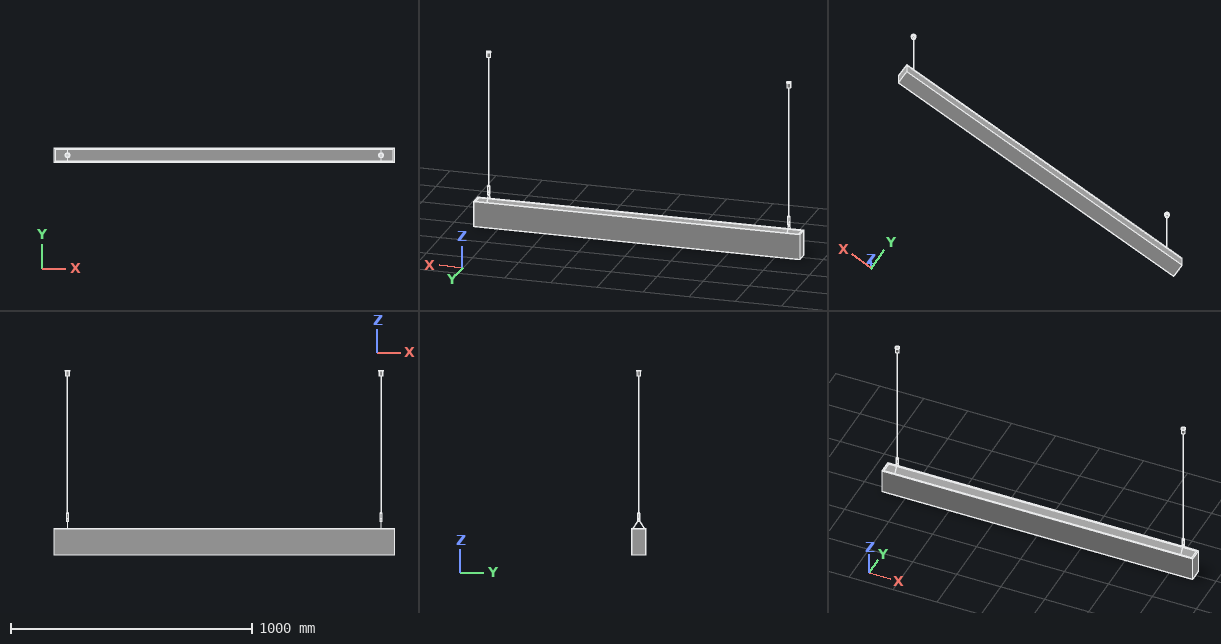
import cadquery as cq
import math

TOTAL_LENGTH = 1414.0
CAP_LENGTH = 7.0
CAP_INSET = 0.25
WIDTH = 60.0
HOUSING_HEIGHT = 110.0
TOTAL_HEIGHT = 766.34
PROFILE_LENGTH = TOTAL_LENGTH - 2 * CAP_LENGTH

TRAY_WIDTH = 47.0
TRAY_DEPTH = 1.0
STEP_WIDTH = 52.0
STEP_DEPTH = 0.5

SUSPENSION_SPACING = 1301.0
CABLE_DIAMETER = 2.0
WIRE_DIAMETER = 1.0
WIRE_SPREAD = 51.0
WIRE_TOP_SPREAD = 9.0

FLANGE_DIAMETER = 20.0
FLANGE_THICKNESS = 2.0
MOUNT_DIAMETER = 16.0
MOUNT_HEIGHT = 24.0

GRIPPER_DIAMETER = 10.0
GRIPPER_TIP_DIAMETER = 5.0
GRIPPER_HEIGHT = 38.0
GRIPPER_TAPER_HEIGHT = 4.0
GRIPPER_CLEARANCE = 29.0
CROSS_HOLE_DIAMETER = 5.0
CROSS_HOLE_RISE = 10.0

tray_floor = HOUSING_HEIGHT - TRAY_DEPTH
gripper_bottom = HOUSING_HEIGHT + GRIPPER_CLEARANCE
gripper_top = gripper_bottom + GRIPPER_HEIGHT
mount_bottom = TOTAL_HEIGHT - MOUNT_HEIGHT


def make_profile():
    half_width = WIDTH / 2
    half_step = STEP_WIDTH / 2
    half_tray = TRAY_WIDTH / 2
    step_level = HOUSING_HEIGHT - STEP_DEPTH
    section = (
        cq.Workplane("YZ", origin=(-PROFILE_LENGTH / 2, 0, 0))
        .moveTo(0, 0)
        .lineTo(half_width, 0)
        .lineTo(half_width, HOUSING_HEIGHT)
        .lineTo(half_step, HOUSING_HEIGHT)
        .lineTo(half_step, step_level)
        .lineTo(half_tray, step_level)
        .lineTo(half_tray, tray_floor)
        .lineTo(0, tray_floor)
        .mirrorY()
    )
    return section.extrude(PROFILE_LENGTH)


def make_end_cap(side):
    draft = math.degrees(math.atan2(CAP_INSET, CAP_LENGTH))
    return (
        cq.Workplane("YZ", origin=(side * PROFILE_LENGTH / 2, 0, HOUSING_HEIGHT / 2))
        .rect(WIDTH, HOUSING_HEIGHT)
        .extrude(side * CAP_LENGTH, taper=draft)
    )


def revolved(x, outline):
    """Solid of revolution about the vertical axis at x, from (radius, height) points."""
    return cq.Workplane("XZ", origin=(x, 0, 0)).polyline(outline).close().revolve(360, (0, 0, 0), (0, 1, 0))


def make_gripper(x):
    """Barrel with a conical tip, pierced by the cross hole."""
    barrel_top = gripper_top - GRIPPER_TAPER_HEIGHT
    barrel_radius = GRIPPER_DIAMETER / 2
    body = revolved(
        x,
        [
            (0, gripper_bottom),
            (barrel_radius, gripper_bottom),
            (barrel_radius, barrel_top),
            (GRIPPER_TIP_DIAMETER / 2, gripper_top),
            (0, gripper_top),
        ],
    )
    cross_hole = (
        cq.Workplane("YZ", origin=(x, 0, gripper_bottom + CROSS_HOLE_RISE))
        .circle(CROSS_HOLE_DIAMETER / 2)
        .extrude(barrel_radius, both=True)
    )
    return body.cut(cross_hole)


def make_ceiling_mount(x):
    flange_bottom = TOTAL_HEIGHT - FLANGE_THICKNESS
    return revolved(
        x,
        [
            (0, mount_bottom),
            (MOUNT_DIAMETER / 2, mount_bottom),
            (MOUNT_DIAMETER / 2, flange_bottom),
            (FLANGE_DIAMETER / 2, flange_bottom),
            (FLANGE_DIAMETER / 2, TOTAL_HEIGHT),
            (0, TOTAL_HEIGHT),
        ],
    )


def make_cable(x):
    """Vertical cable from the gripper tip to the underside of the ceiling mount."""
    return (
        cq.Workplane("XY", origin=(x, 0, gripper_top))
        .circle(CABLE_DIAMETER / 2)
        .extrude(mount_bottom - gripper_top)
    )


def make_wire(x, side):
    """Sloping wire whose ends are buried in the rim steps of the profile and in the gripper."""
    start = cq.Vector(x, side * WIRE_SPREAD / 2, tray_floor - WIRE_DIAMETER)
    end = cq.Vector(x, side * WIRE_TOP_SPREAD / 2, gripper_bottom + WIRE_DIAMETER)
    run = end - start
    return cq.Workplane(cq.Solid.makeCylinder(WIRE_DIAMETER / 2, run.Length, start, run))


result = make_profile()
for side in (-1, 1):
    result = result.union(make_end_cap(side))

for end in (-1, 1):
    hanger_x = end * SUSPENSION_SPACING / 2
    result = result.union(make_gripper(hanger_x))
    result = result.union(make_ceiling_mount(hanger_x))
    result = result.union(make_cable(hanger_x))
    for side in (-1, 1):
        result = result.union(make_wire(hanger_x, side))